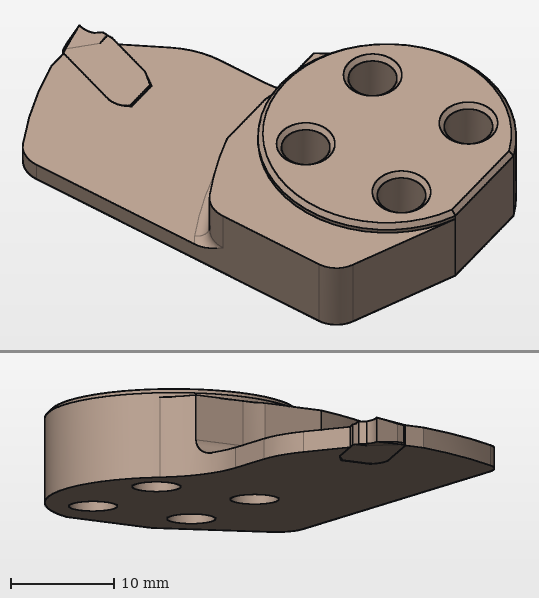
import cadquery as cq
import math

PLATE_THICK = 2.0
BLOCK_HEIGHT = 7.9
DISC_HEIGHT = 8.8
DISC_RADIUS = 12.5
DISC_CHAMFER = 0.5
FLAT_X = 11.5
FRONT_Y = -17.5
SHOULDER_Y = 4.2
PLATE_LEFT_X = -35.6
NECK_RADIUS = 10.0
SHOULDER_RADIUS = 10.0
SHOULDER_ANGLE = 30.0
SHOULDER_CORNER_X = -25.25
CORNER_RADIUS = 3.0

NOSE_RADIUS = 39.5
NOSE_CENTRE_X = 3.0
NOSE_CENTRE_Y = 2.7

WALL_X = -12.8
WALL_BLEND_Y = 0.15
WALL_BLEND_RADIUS = 10.0
WALL_SHIFT = 22.05
COVE_RADIUS = 1.5
MARGIN = 9.6
REACH = 0.05

HOLE_DIAMETER = 4.7
HOLE_CHAMFER = 0.5
CHAMFER_CONE_ANGLE = 90.0
HOLE_OFFSET = 5.65

EDGE_X = -36.4
EDGE_Y = 0.15
HEEL = (-35.95, -3.25)
CLEARANCE_BREAK = (-36.15, -2.4)
LOWER_START = (-35.6, -3.7)
INSERT_ANGLE = 20.0
LOWER_END_X = -28.65
UPPER_END = (-27.75, -1.2)
INSERT_END_X = -26.3
END_GAP = 0.2
END_TOP_Y = -2.4
END_BOTTOM_Y = -5.75
CROWN_Y = 0.7
CROWN_START_X = -34.1
GROOVE_END = (-34.7, 0.2)
HEAD_BACK_X = -33.5
HEAD_BACK_Y = -0.55
HEAD_BACK_RUN = 0.57
HEAD_OVERHANG = 0.2
RELIEF_WIDTH = 0.25
RELIEF_DEPTH = 0.15


def nose_point(y):
    """Point of the nose curve at the given Y."""
    x = NOSE_CENTRE_X - math.sqrt(NOSE_RADIUS**2 - (y - NOSE_CENTRE_Y) ** 2)
    return x, y


def nose_y(x):
    """Y of the lower half of the nose curve at the given X."""
    return NOSE_CENTRE_Y - math.sqrt(NOSE_RADIUS**2 - (x - NOSE_CENTRE_X) ** 2)


def on_disc(angle):
    """Point of the disc rim at an angle in radians."""
    return DISC_RADIUS * math.cos(angle), DISC_RADIUS * math.sin(angle)


def fillet_corner(solid, point, radius):
    """Round the vertical edge that stands at the given point."""
    box = cq.selectors.BoxSelector(
        (point[0] - REACH, point[1] - REACH, -REACH),
        (point[0] + REACH, point[1] + REACH, BLOCK_HEIGHT + REACH),
    )
    return solid.edges("|Z").edges(box).fillet(radius)


def outline_prism():
    """Complete plan shape of the holder, as tall as the block."""
    reach = DISC_RADIUS + NECK_RADIUS
    neck_centre_y = SHOULDER_Y + NECK_RADIUS
    neck_centre_x = -math.sqrt(reach**2 - neck_centre_y**2)
    neck_angle = math.atan2(neck_centre_y, neck_centre_x)
    neck_mid_angle = (neck_angle - math.pi - math.pi / 2) / 2
    neck_mid = (
        neck_centre_x + NECK_RADIUS * math.cos(neck_mid_angle),
        neck_centre_y + NECK_RADIUS * math.sin(neck_mid_angle),
    )

    flat_angle = math.acos(FLAT_X / DISC_RADIUS)
    flat_y = DISC_RADIUS * math.sin(flat_angle)
    slant_x = (DISC_RADIUS + FRONT_Y * math.sin(flat_angle)) / math.cos(flat_angle)

    slope = math.tan(math.radians(SHOULDER_ANGLE))
    shoulder_drop = (SHOULDER_CORNER_X - PLATE_LEFT_X) * slope
    nose_top_y = nose_y(PLATE_LEFT_X)
    front_left = nose_point(FRONT_Y)
    front_right = (slant_x, FRONT_Y)
    shoulder = (SHOULDER_CORNER_X, SHOULDER_Y)

    prism = (
        cq.Workplane("XY")
        .moveTo(*front_right)
        .lineTo(FLAT_X, -flat_y)
        .lineTo(FLAT_X, flat_y)
        .threePointArc(on_disc((flat_angle + neck_angle) / 2), on_disc(neck_angle))
        .threePointArc(neck_mid, (neck_centre_x, SHOULDER_Y))
        .lineTo(*shoulder)
        .lineTo(PLATE_LEFT_X, SHOULDER_Y - shoulder_drop)
        .lineTo(PLATE_LEFT_X, nose_top_y)
        .threePointArc(nose_point((nose_top_y + FRONT_Y) / 2), front_left)
        .close()
        .extrude(BLOCK_HEIGHT)
    )
    prism = fillet_corner(prism, front_left, CORNER_RADIUS)
    prism = fillet_corner(prism, front_right, CORNER_RADIUS)
    return fillet_corner(prism, shoulder, SHOULDER_RADIUS)


def stepped_slab():
    """Oversize slab carrying the block, with the cove along the block's wall."""
    wall_top_x = -DISC_RADIUS
    blend_centre_x = wall_top_x - WALL_BLEND_RADIUS
    blend_angle = math.acos((WALL_X - blend_centre_x) / WALL_BLEND_RADIUS)
    blend_mid = (
        blend_centre_x + WALL_BLEND_RADIUS * math.cos(blend_angle / 2),
        WALL_BLEND_Y - WALL_BLEND_RADIUS * math.sin(blend_angle / 2),
    )
    blend_end = (WALL_X, WALL_BLEND_Y - WALL_BLEND_RADIUS * math.sin(blend_angle))

    curve_start_y = nose_y(WALL_X - WALL_SHIFT)
    curve_mid = nose_point((curve_start_y + FRONT_Y) / 2)
    curve_end = nose_point(FRONT_Y)
    corner = (curve_end[0] + WALL_SHIFT, FRONT_Y)
    far_x = FLAT_X + MARGIN
    far_y = DISC_RADIUS + MARGIN

    block = (
        cq.Workplane("XY")
        .moveTo(far_x, far_y)
        .lineTo(wall_top_x, far_y)
        .lineTo(wall_top_x, WALL_BLEND_Y)
        .threePointArc(blend_mid, blend_end)
        .lineTo(WALL_X, curve_start_y)
        .threePointArc((curve_mid[0] + WALL_SHIFT, curve_mid[1]), corner)
        .lineTo(far_x, FRONT_Y)
        .close()
        .extrude(BLOCK_HEIGHT)
    )
    block = fillet_corner(block, corner, CORNER_RADIUS)

    slab = (
        cq.Workplane("XY")
        .moveTo(EDGE_X - MARGIN, FRONT_Y - MARGIN)
        .lineTo(far_x, FRONT_Y - MARGIN)
        .lineTo(far_x, far_y)
        .lineTo(EDGE_X - MARGIN, far_y)
        .close()
        .extrude(PLATE_THICK)
    )
    wall_base = cq.selectors.BoxSelector(
        (WALL_X - REACH, FRONT_Y - REACH, PLATE_THICK - REACH),
        (far_x - REACH, far_y - REACH, PLATE_THICK + REACH),
    )
    return slab.union(block).edges(wall_base).fillet(COVE_RADIUS)


def raised_disc():
    """Chamfered disc with its +X side cut flat."""
    width = DISC_RADIUS + FLAT_X
    depth = 2 * DISC_RADIUS
    keep = cq.Workplane("XY").box(width, depth, DISC_HEIGHT, centered=(False, True, False))
    disc = cq.Workplane("XY").circle(DISC_RADIUS).extrude(DISC_HEIGHT)
    disc = disc.intersect(keep.translate((-DISC_RADIUS, 0, 0)))
    return disc.faces(">Z").edges().chamfer(DISC_CHAMFER)


def make_holder():
    """Stepped body with the disc, four chamfered holes and the insert pocket."""
    body = stepped_slab().intersect(outline_prism()).union(raised_disc())
    body = (
        body.faces(">Z")
        .workplane(origin=(0, 0, DISC_HEIGHT))
        .rect(2 * HOLE_OFFSET, 2 * HOLE_OFFSET, forConstruction=True)
        .vertices()
        .cskHole(HOLE_DIAMETER, HOLE_DIAMETER + 2 * HOLE_CHAMFER, CHAMFER_CONE_ANGLE)
    )
    return body.cut(insert_prism(INSERT_END_X + END_GAP))


def insert_prism(end_x, overhang=0):
    """Plan shape of the insert, ending at end_x, standing past both plate faces by the overhang."""
    slope = math.tan(math.radians(INSERT_ANGLE))
    lower_end = (LOWER_END_X, LOWER_START[1] - (LOWER_END_X - LOWER_START[0]) * slope)
    crown_end = (UPPER_END[0] - (CROWN_Y - UPPER_END[1]) / slope, CROWN_Y)
    groove_mid = ((EDGE_X + GROOVE_END[0]) / 2, 0)
    return (
        cq.Workplane("XY", origin=(0, 0, -overhang))
        .moveTo(EDGE_X, EDGE_Y)
        .lineTo(*CLEARANCE_BREAK)
        .lineTo(*HEEL)
        .lineTo(*LOWER_START)
        .lineTo(*lower_end)
        .tangentArcPoint((end_x, END_BOTTOM_Y), relative=False)
        .lineTo(end_x, END_TOP_Y)
        .lineTo(*UPPER_END)
        .lineTo(*crown_end)
        .lineTo(CROWN_START_X, CROWN_Y)
        .lineTo(*GROOVE_END)
        .threePointArc(groove_mid, (EDGE_X, EDGE_Y))
        .close()
        .extrude(PLATE_THICK + 2 * overhang)
    )


def insert_head():
    """Head that widens from the diagonal seam up to the cutting edge."""
    run_x = HEAD_BACK_X - HEEL[0]
    run_y = HEAD_BACK_Y - HEEL[1]
    seam = math.hypot(run_x, run_y)
    reach = (run_x * (EDGE_Y - HEEL[1]) - run_y * (EDGE_X - HEEL[0])) / seam

    section = cq.Plane(origin=(*HEEL, 0), xDir=(-run_y, run_x, 0), normal=(run_x, run_y, 0))
    wedge = (
        cq.Workplane(section)
        .lineTo(reach, -HEAD_OVERHANG)
        .lineTo(reach, PLATE_THICK + HEAD_OVERHANG)
        .lineTo(0, PLATE_THICK)
        .close()
        .extrude(2 * seam, both=True)
    )
    rise = MARGIN / 2
    crest_x = HEAD_BACK_X - HEAD_BACK_RUN * rise / HEAD_OVERHANG
    in_front = (
        cq.Workplane("XZ")
        .moveTo(crest_x, -rise)
        .lineTo(HEAD_BACK_X, 0)
        .lineTo(HEAD_BACK_X, PLATE_THICK)
        .lineTo(crest_x, PLATE_THICK + rise)
        .close()
        .extrude(MARGIN, both=True)
    )
    return insert_prism(INSERT_END_X, HEAD_OVERHANG).intersect(wedge).intersect(in_front)


def edge_relief():
    """Material above the relief plane, which falls from the cutting corner to the heel."""
    corner = cq.Vector(EDGE_X, EDGE_Y, PLATE_THICK + HEAD_OVERHANG)
    heel = cq.Vector(*HEEL, PLATE_THICK - RELIEF_DEPTH)
    inner = cq.Vector(HEEL[0] + RELIEF_WIDTH, HEEL[1], PLATE_THICK)
    along = heel - corner
    plane = cq.Plane(origin=corner, xDir=along, normal=along.cross(inner - corner))
    return cq.Workplane(plane).rect(2 * MARGIN, 2 * MARGIN).extrude(MARGIN)


def make_insert():
    """Flat shank with the widened head, relieved alike on both faces."""
    body = insert_prism(INSERT_END_X).union(insert_head())
    relief = edge_relief()
    mid_plane = (0, 0, PLATE_THICK / 2)
    return body.cut(relief).cut(relief.mirror("XY", mid_plane))


holder = make_holder()
insert = make_insert()

result = cq.Compound.makeCompound([holder.solids().val(), insert.solids().val()])